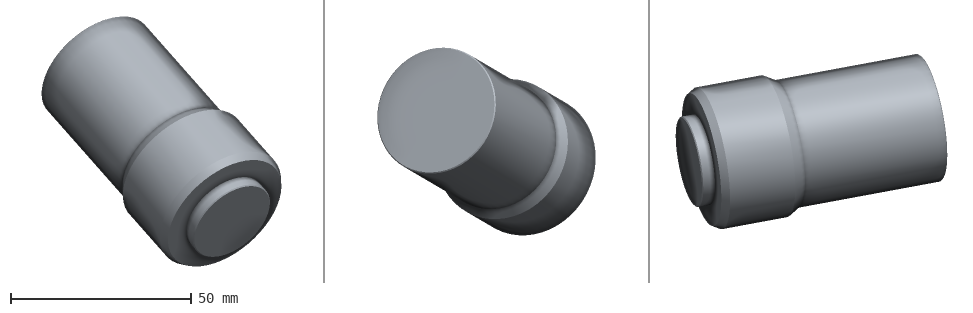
import cadquery as cq
import math

barrel_diameter = 36.0
head_diameter = 40.0
spigot_diameter = 25.5
total_length = 69.5
barrel_length = 41.3
bevel_angle = math.radians(30)
spigot_length = 3.7
head_bevel_depth = 1.25
edge_chamfer = 0.3

barrel_radius = barrel_diameter / 2
head_radius = head_diameter / 2
spigot_radius = spigot_diameter / 2

shoulder_length = (head_radius - barrel_radius) / math.tan(bevel_angle)
head_bevel_length = head_bevel_depth / math.tan(bevel_angle)

barrel_start = -total_length / 2
barrel_end = barrel_start + barrel_length
head_start = barrel_end + shoulder_length
spigot_end = total_length / 2
head_end = spigot_end - spigot_length


def half_profile():
    """Outline of one half of the section, closed along the X axis."""
    return (
        cq.Workplane("XZ")
        .moveTo(barrel_start, 0)
        .lineTo(barrel_start, barrel_radius - edge_chamfer)
        .lineTo(barrel_start + edge_chamfer, barrel_radius)
        .lineTo(barrel_end, barrel_radius)
        .lineTo(head_start, head_radius)
        .lineTo(head_end - head_bevel_length, head_radius)
        .lineTo(head_end, head_radius - head_bevel_depth)
        .lineTo(head_end, spigot_radius)
        .lineTo(spigot_end - edge_chamfer, spigot_radius)
        .lineTo(spigot_end, spigot_radius - edge_chamfer)
        .lineTo(spigot_end, 0)
        .close()
    )


result = half_profile().revolve(360, (0, 0, 0), (1, 0, 0))